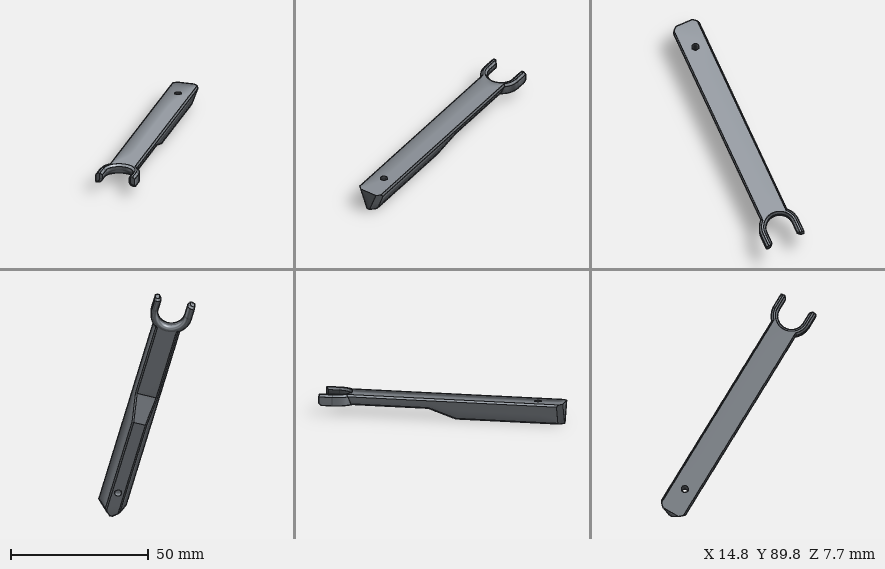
import cadquery as cq
import math

length = 89.8
depth = 7.7
fork_depth = 3.95
edge_chamfer = 0.8

handle_width = 10.9
side_taper = 20.0
corner_chamfer = 2.0
lower_chamfer = 0.45
ramp_start = 40.0
ramp_end = 49.9

fork_width = 14.8
opening_width = 10.1
arm_length = 5.0
inner_fillet = 1.8

hole_diameter = 2.5
hole_inset = 10.0

front = -length / 2
back = length / 2
fork_center = front + arm_length
fork_radius = fork_width / 2
opening_radius = opening_width / 2

margin = 0.1


def make_handle():
    """Tapered bar with a stepped underside, ending at the centre of the fork."""
    top_half = handle_width / 2
    bottom_half = top_half - depth * math.tan(math.radians(side_taper))
    section = [(-top_half, 0), (top_half, 0), (bottom_half, -depth), (-bottom_half, -depth)]
    bar = cq.Workplane("XZ", origin=(0, back, 0)).polyline(section).close().extrude(back - fork_center)

    side_profile = [
        (fork_center, 0),
        (back, 0),
        (back, -depth),
        (back - ramp_start, -depth),
        (back - ramp_end, -fork_depth),
        (fork_center, -fork_depth),
    ]
    bar = bar.intersect(
        cq.Workplane("YZ").polyline(side_profile).close().extrude(handle_width / 2, both=True)
    )

    bar = bar.faces(">Y").edges("not |X").chamfer(corner_chamfer)
    bar = bar.faces(">Z").edges("|Y").chamfer(edge_chamfer)
    ramp_zone = cq.selectors.BoxSelector(
        (-handle_width, back - ramp_end, -depth),
        (handle_width, back - ramp_start, -fork_depth),
    )
    level_edges = bar.faces("-Z").edges("|Y")
    ramp_edges = bar.faces(ramp_zone).edges("not |X")
    return level_edges.add(ramp_edges).chamfer(lower_chamfer)


def u_plate(radius):
    """Plate with one round end, as thick as the fork and open-ended at the front."""
    return (
        cq.Workplane("XY")
        .moveTo(-radius, front)
        .lineTo(-radius, fork_center)
        .threePointArc((0, fork_center + radius), (radius, fork_center))
        .lineTo(radius, front)
        .close()
        .extrude(-fork_depth)
    )


def make_fork_blank():
    """Solid fork outline with its upper outer edge chamfered."""
    return u_plate(fork_radius).faces(">Z").edges("not <Y").chamfer(edge_chamfer)


def opening_edges(z):
    """Selector for the edges that run around the fork opening at height z."""
    return cq.selectors.BoxSelector(
        (-opening_radius - margin, front - margin, z - margin),
        (opening_radius + margin, fork_center + opening_radius + margin, z + margin),
        boundingbox=True,
    )


def tip_edges():
    """Selector for the inner and lower edges of the arm tips, below the upper chamfer."""
    return cq.selectors.BoxSelector(
        (-fork_radius + margin, front - margin, -fork_depth - margin),
        (fork_radius - margin, front + margin, -edge_chamfer),
    )


def cut_opening(body):
    """Cut the fork opening and finish the edges around it."""
    body = body.cut(u_plate(opening_radius))
    body = body.edges(opening_edges(-fork_depth)).edges("not <Y").fillet(inner_fillet)
    body = body.edges(opening_edges(0)).edges("not <Y").chamfer(edge_chamfer)
    return body.edges(tip_edges()).chamfer(edge_chamfer)


def make_hole():
    """Round cutter for the hole through the back of the handle."""
    return (
        cq.Workplane("XY")
        .center(0, back - hole_inset)
        .circle(hole_diameter / 2)
        .extrude(-depth)
    )


result = cut_opening(make_handle().union(make_fork_blank())).cut(make_hole())